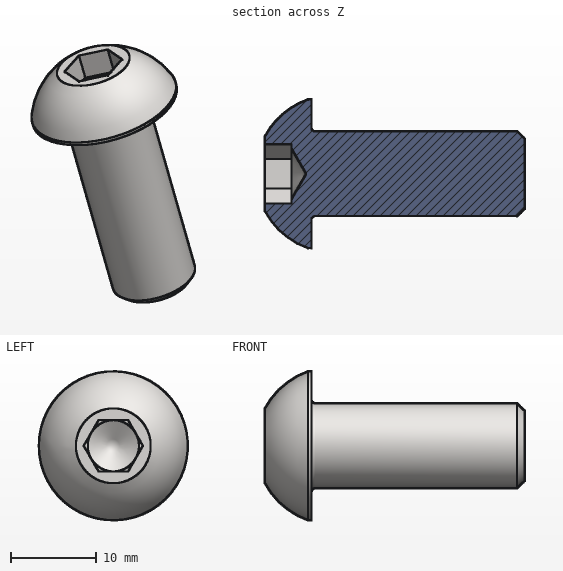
import cadquery as cq
import math

total_length = 30.5
head_diameter = 17.5
head_height = 5.5
head_face_diameter = 8.78
rim_width = 0.4
shank_diameter = 10.0
neck_fillet = 0.43
tip_chamfer = 0.88
socket_across_flats = 6.0
socket_depth = 3.1
socket_cone_angle = 120.0

head_radius = head_diameter / 2
face_radius = head_face_diameter / 2
shank_radius = shank_diameter / 2
dome_length = head_height - rim_width


def dome_midpoint():
    """Middle of the dome arc, whose centre lies on the screw axis."""
    centre_x = (dome_length**2 + head_radius**2 - face_radius**2) / (2 * dome_length)
    dome_radius = math.hypot(centre_x, face_radius)
    face_angle = math.atan2(face_radius, -centre_x)
    rim_angle = math.atan2(head_radius, dome_length - centre_x)
    middle_angle = (face_angle + rim_angle) / 2
    return (
        centre_x + dome_radius * math.cos(middle_angle),
        dome_radius * math.sin(middle_angle),
    )


def make_body():
    """Head and shank revolved from one half profile."""
    fillet_offset = neck_fillet * (1 - math.sqrt(0.5))
    return (
        cq.Workplane("XY")
        .moveTo(0, 0)
        .lineTo(0, face_radius)
        .threePointArc(dome_midpoint(), (dome_length, head_radius))
        .lineTo(head_height, head_radius)
        .lineTo(head_height, shank_radius + neck_fillet)
        .threePointArc(
            (head_height + fillet_offset, shank_radius + fillet_offset),
            (head_height + neck_fillet, shank_radius),
        )
        .lineTo(total_length - tip_chamfer, shank_radius)
        .lineTo(total_length, shank_radius - tip_chamfer)
        .lineTo(total_length, 0)
        .close()
        .revolve(360, (0, 0, 0), (1, 0, 0))
    )


def make_socket():
    """Hexagonal socket, corners toward +Y and -Y, with a conical bottom."""
    across_corners = socket_across_flats / math.cos(math.pi / 6)
    hexagon = cq.Workplane("YZ").polygon(6, across_corners).extrude(socket_depth)
    cone_radius = socket_across_flats / 2
    cone_height = cone_radius / math.tan(math.radians(socket_cone_angle / 2))
    cone = cq.Solid.makeCone(
        cone_radius, 0, cone_height, cq.Vector(socket_depth, 0, 0), cq.Vector(1, 0, 0)
    )
    return hexagon.union(cq.Workplane(cone))


result = make_body().cut(make_socket())